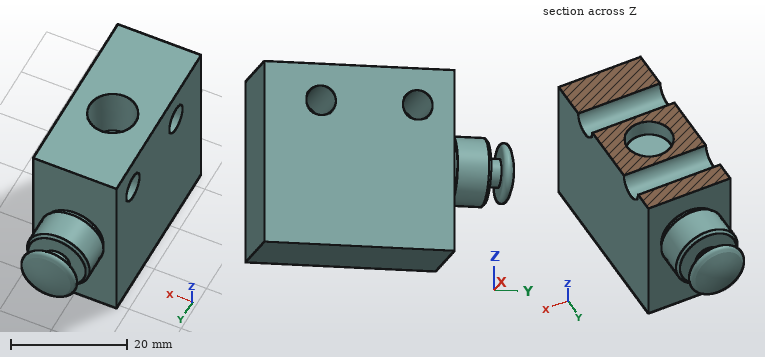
import cadquery as cq
import math

block_width = 16.0
block_length = 33.5
block_height = 32.0

neck_diameter = 11.0
neck_length = 1.0
collar_diameter = 12.0
collar_length = 6.0
collar_chamfer = 0.5
stem_diameter = 5
stem_length = 2.4
cap_diameter = 10.55
cap_length = 2.5
cap_rim_radius = 0.73
cap_cone_angle = 35
cap_crown_diameter = 9.1

cross_hole_diameter = 5.2
cross_hole_spacing = 17.02
cross_hole_inset = 6.5

port_mouth_diameter = 8.8
port_floor_diameter = 8.2
port_depth = 9.45

cross_hole_back_y = block_length - cross_hole_inset
cross_hole_front_y = cross_hole_back_y - cross_hole_spacing
cross_hole_z = block_height - cross_hole_inset
port_y = (cross_hole_back_y + cross_hole_front_y) / 2
button_z = block_height / 2


def make_block():
    block = cq.Workplane("XY").box(
        block_width, block_length, block_height, centered=(True, False, False)
    )
    cross_holes = (
        cq.Workplane("YZ")
        .pushPoints([(cross_hole_front_y, cross_hole_z), (cross_hole_back_y, cross_hole_z)])
        .circle(cross_hole_diameter / 2)
        .extrude(block_width, both=True)
    )
    port = (
        cq.Workplane("XZ", origin=(0, port_y, block_height))
        .lineTo(port_mouth_diameter / 2, 0)
        .lineTo(port_floor_diameter / 2, -port_depth)
        .lineTo(0, -port_depth)
        .close()
        .revolve(360, (0, 0, 0), (0, 1, 0))
    )
    return block.cut(cross_holes).cut(port)


def button_cylinder(start_y, diameter, length):
    """Cylinder on the button axis, running backwards from start_y."""
    plane = cq.Plane(origin=(0, start_y, button_z), xDir=(1, 0, 0), normal=(0, 1, 0))
    return cq.Workplane(plane).circle(diameter / 2).extrude(length)


def make_cap(start_y):
    """Mushroom cap with a rounded rim, a short tangent cone and a domed crown."""
    rim_center = cap_diameter / 2 - cap_rim_radius
    crown_radius = cap_crown_diameter / 2
    slope = math.radians(cap_cone_angle)
    cone_radius = rim_center + cap_rim_radius * math.sin(slope)
    cone_start = cap_rim_radius * (1 + math.cos(slope))
    crown_start = cone_start + (cone_radius - crown_radius) * math.tan(slope)

    crown_height = cap_length - crown_start
    sphere_radius = (crown_radius**2 + crown_height**2) / (2 * crown_height)
    mid_radius = crown_radius / 2
    mid_height = cap_length - sphere_radius + math.sqrt(sphere_radius**2 - mid_radius**2)
    return (
        cq.Workplane("XY", origin=(0, start_y, button_z))
        .lineTo(rim_center, 0)
        .threePointArc((cap_diameter / 2, cap_rim_radius), (cone_radius, cone_start))
        .lineTo(crown_radius, crown_start)
        .threePointArc((mid_radius, mid_height), (0, cap_length))
        .close()
        .revolve(360, (0, 0, 0), (0, 1, 0))
    )


collar_y = block_length + neck_length
stem_y = collar_y + collar_length
cap_y = stem_y + stem_length

neck = button_cylinder(block_length, neck_diameter, neck_length)
collar = button_cylinder(collar_y, collar_diameter, collar_length).faces(">Y").chamfer(collar_chamfer)
stem = button_cylinder(stem_y, stem_diameter, stem_length)

result = make_block().union(neck).union(collar).union(stem).union(make_cap(cap_y))